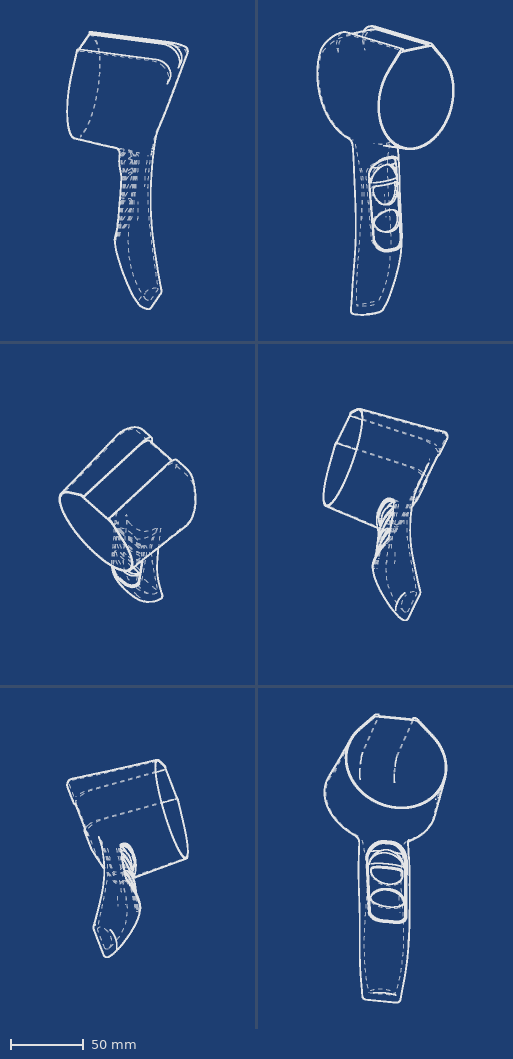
import cadquery as cq
import math


TOTAL_HEIGHT = 198.9
CROWN_Z = 39.0
BOTTOM_Z = CROWN_Z - TOTAL_HEIGHT
WALL = 0.8
REACH = 79.5
TRIM_WIDTH = 119.3

MOUTH_RADIUS = 35.6
SIDE_DRAFT = 0.067
TOP_HEIGHT = 37.0
TOP_DRAFT = 0.035
TOP_HALF_WIDTH = 14.3
MOUTH_OVERCUT = 2.0

PANEL_HALF_WIDTH = 12.1
PANEL_SINK = 1.2
PANEL_BACK_RADIUS = 12.0
PANEL_RECESS_BASE_Z = 10.0

BACK_RADIUS = 278.5
BACK_NEAREST_X = 43.8
BACK_CENTRE_Z = -85.5
BACK_TOP_RADIUS = 10.0
EDGE_RADIUS = 2.4

HANDLE_SECTIONS = [
    (-23.9, 28.2, 16.3),
    (-43.8, 27.8, 16.3),
    (-55.7, 27.2, 17.0),
    (-83.5, 25.9, 17.0),
    (-109.4, 24.0, 16.3),
    (-127.3, 27.2, 16.0),
    (-143.2, 32.6, 14.7),
    (BOTTOM_Z, 41.8, 13.3),
]
FRONT_BULGE = 10.0
SIDE_LENGTH = 14.0
TIP_RADIUS = 2.8
NECK_RADIUS = 7.0

TIP_THICKNESS = 6.0
CAVITY_SECTIONS = [
    (-23.9, 29.5, 14.7),
    (-55.7, 37.0, 14.3),
    (-127.3, 34.6, 13.5),
    (BOTTOM_Z + TIP_THICKNESS, 44.5, 11.0),
]

PAD_TOP_Z = -46.5
PAD_BOTTOM_Z = -112.2
PAD_TOP_HALF_WIDTH = 14.5
PAD_BOTTOM_HALF_WIDTH = 13.3
PAD_TOP_RADIUS = 12.0
PAD_BOTTOM_RADIUS = 10.0
PAD_DEPTH_LIMIT = 39.8

PAD_HALF_WIDTH = 17.3
LEDGE_FOOT_Z = -53.1
LEDGE_FOOT_X = 30.5
RAMP_FOOT_Z = -103.5
RAMP_FOOT_X = 26.0
PAD_PROFILE = [
    (PAD_TOP_Z + 2.0, 27.8),
    (PAD_TOP_Z, 27.8),
    (LEDGE_FOOT_Z, LEDGE_FOOT_X),
    (RAMP_FOOT_Z, RAMP_FOOT_X),
    (PAD_BOTTOM_Z, 24.0),
    (PAD_BOTTOM_Z - 2.0, 24.0),
]
GROOVE_WIDTH = 1.2
GROOVE_DEPTH = 0.8

SCOOP_DEPTH = 2.0
HALF_MOON_DEPTH = 4.0
HALF_MOON_TOP_Z = -52.1
HALF_MOON_BOTTOM_Z = -63.5
HALF_MOON_HALF_WIDTH = 12.1
SHIELD_TOP_Z = -66.0
SHIELD_BOTTOM_Z = -80.2
SHIELD_HALF_WIDTH = 11.1
SHIELD_SIDE = 4.0
SHIELD_CORNER_RADIUS = 2.0
OVAL_CENTRE_Z = -91.5
OVAL_HALF_WIDTH = 11.7
OVAL_HALF_HEIGHT = 7.5


def top_z(x):
    return TOP_HEIGHT + TOP_DRAFT * x


def cup_section(x, inset, top_inset):
    """Outline across the cup: flat top, two flanks and a round lower part tangent to them."""
    radius = MOUTH_RADIUS + SIDE_DRAFT * x - inset
    corner_y = TOP_HALF_WIDTH - inset + (top_inset - inset)
    corner_z = top_z(x) - top_inset
    corner_distance = math.hypot(corner_y, corner_z)
    tangent_angle = math.atan2(corner_z, corner_y) - math.acos(radius / corner_distance)
    tangent_y = radius * math.cos(tangent_angle)
    tangent_z = radius * math.sin(tangent_angle)
    return (
        cq.Workplane("YZ", origin=(x, 0, 0))
        .moveTo(-corner_y, corner_z)
        .lineTo(corner_y, corner_z)
        .lineTo(tangent_y, tangent_z)
        .threePointArc((0, -radius), (-tangent_y, tangent_z))
        .close()
        .val()
    )


def cup_loft(start_x, inset=0.0, top_inset=0.0):
    sections = [cup_section(x, inset, top_inset) for x in (start_x, REACH)]
    return cq.Workplane(cq.Solid.makeLoft(sections, True))


def handle_section(z, front_x, half_width):
    """Outline across the handle: half-elliptical front running into straight sides."""
    shoulder_x = front_x + FRONT_BULGE
    bow = [
        (shoulder_x - FRONT_BULGE * math.cos(angle), half_width * math.sin(angle))
        for angle in (math.radians(degrees) for degrees in range(-90, 91, 45))
    ]
    side_xs = (shoulder_x + SIDE_LENGTH, REACH)
    right_side = [(x, -half_width) for x in reversed(side_xs)]
    left_side = [(x, half_width) for x in side_xs]
    points = [cq.Vector(x, y, z) for x, y in right_side + bow + left_side]
    skin = cq.Edge.makeSpline(points, tangents=[cq.Vector(-1, 0, 0), cq.Vector(1, 0, 0)])
    back = cq.Edge.makeLine(points[-1], points[0])
    return cq.Wire.assembleEdges([skin, back])


def handle_loft(sections, ruled=False):
    wires = [handle_section(*section) for section in sections]
    return cq.Workplane(cq.Solid.makeLoft(wires, ruled))


def back_x(z, inset):
    rise = z - BACK_CENTRE_Z
    return BACK_NEAREST_X + BACK_RADIUS - math.sqrt((BACK_RADIUS + inset) ** 2 - rise ** 2)


def side_profile(inset, front_top_z, back_top_z):
    """Everything in front of the back arc, up to a top running straight from front to back."""
    front_x = -MOUTH_OVERCUT
    lowest_point = (back_x(BOTTOM_Z, inset), BOTTOM_Z)
    nearest_point = (back_x(BACK_CENTRE_Z, inset), BACK_CENTRE_Z)
    top_point = (back_x(back_top_z, inset), back_top_z)
    return (
        cq.Workplane("XZ", origin=(0, TRIM_WIDTH / 2, 0))
        .moveTo(front_x, BOTTOM_Z)
        .lineTo(*lowest_point)
        .threePointArc(nearest_point, top_point)
        .lineTo(front_x, front_top_z)
        .close()
        .extrude(TRIM_WIDTH)
    )


def back_trim(inset):
    clear_top_z = CROWN_Z + EDGE_RADIUS
    return side_profile(inset, clear_top_z, clear_top_z)


def near(x_range, z_range):
    """Selector for edges centred inside the given X and Z ranges."""
    half = TRIM_WIDTH / 2
    return cq.selectors.BoxSelector(
        (x_range[0], -half, z_range[0]), (x_range[1], half, z_range[1])
    )


def blended(cup, handle, inset, back_top_radius):
    """Cup and handle joined, trimmed to the back and rounded."""
    neck_edges = near((25.9, 61.7), (-43.8, -31.8))
    top_back_edge = near((67.6, REACH), (33.8, 43.8))
    top_corner_edges = near((19.9, 39.8), (31.8, 43.8))
    joined = cup.union(handle).edges(neck_edges).fillet(NECK_RADIUS)
    joined = joined.intersect(back_trim(inset))
    joined = joined.edges("|Y").edges(top_back_edge).fillet(back_top_radius)
    return joined.edges(top_corner_edges).fillet(EDGE_RADIUS - inset)


def outside():
    handle = handle_loft(HANDLE_SECTIONS)
    handle = handle.faces("<Z").edges("<X").fillet(TIP_RADIUS)
    return blended(cup_loft(0), handle, 0, BACK_TOP_RADIUS)


def inside():
    cup = cup_loft(-MOUTH_OVERCUT, WALL, WALL + PANEL_SINK)
    return blended(cup, handle_loft(CAVITY_SECTIONS), WALL, PANEL_BACK_RADIUS - WALL)


def panel_recess():
    """Strip over the top of the cup, down to the panel and round onto the back."""
    strip_top_z = CROWN_Z + EDGE_RADIUS
    strip = cq.Workplane("XY").box(
        REACH + MOUTH_OVERCUT, 2 * PANEL_HALF_WIDTH, strip_top_z - PANEL_RECESS_BASE_Z,
        centered=(False, True, False),
    ).translate((-MOUTH_OVERCUT, 0, PANEL_RECESS_BASE_Z))
    panel_front_z = top_z(-MOUTH_OVERCUT) - PANEL_SINK
    panel_back_z = top_z(back_x(CROWN_Z, 0)) - PANEL_SINK
    core = side_profile(0, panel_front_z, panel_back_z)
    core = core.edges("|Y").edges(near((67.6, REACH), (33.8, 43.8))).fillet(PANEL_BACK_RADIUS)
    return strip.cut(core)


def pad_outline(inset):
    """Prism along X over the pad, wider at the top."""
    top_half = PAD_TOP_HALF_WIDTH - inset
    bottom_half = PAD_BOTTOM_HALF_WIDTH - inset
    top = PAD_TOP_Z - inset
    bottom = PAD_BOTTOM_Z + inset
    prism = (
        cq.Workplane("YZ")
        .polyline([(-top_half, top), (top_half, top), (bottom_half, bottom), (-bottom_half, bottom)])
        .close()
        .extrude(PAD_DEPTH_LIMIT)
    )
    prism = prism.edges("|X").edges(">Z").fillet(PAD_TOP_RADIUS - inset)
    return prism.edges("|X").edges("<Z").fillet(PAD_BOTTOM_RADIUS - inset)


def pad_body(depth=0.0):
    """Material behind the pad face, lowered by depth."""
    sections = [(z, x + depth, PAD_HALF_WIDTH) for z, x in PAD_PROFILE]
    return handle_loft(sections, ruled=True)


def pad_face_x(z):
    """X of the straight run of the pad face."""
    share = (LEDGE_FOOT_Z - z) / (LEDGE_FOOT_Z - RAMP_FOOT_Z)
    return LEDGE_FOOT_X + share * (RAMP_FOOT_X - LEDGE_FOOT_X)


def half_moon_scoop():
    prism = (
        cq.Workplane("YZ")
        .moveTo(-HALF_MOON_HALF_WIDTH, HALF_MOON_BOTTOM_Z)
        .threePointArc((0, HALF_MOON_TOP_Z), (HALF_MOON_HALF_WIDTH, HALF_MOON_BOTTOM_Z))
        .close()
        .extrude(PAD_DEPTH_LIMIT)
    )
    sloping_floor = handle_loft([
        (HALF_MOON_TOP_Z, pad_face_x(HALF_MOON_TOP_Z) + HALF_MOON_DEPTH, PAD_HALF_WIDTH),
        (HALF_MOON_BOTTOM_Z, pad_face_x(HALF_MOON_BOTTOM_Z), PAD_HALF_WIDTH),
    ], ruled=True)
    return prism.cut(sloping_floor)


def shield_scoop():
    side_z = SHIELD_TOP_Z - SHIELD_SIDE
    prism = (
        cq.Workplane("YZ")
        .moveTo(-SHIELD_HALF_WIDTH, SHIELD_TOP_Z)
        .lineTo(SHIELD_HALF_WIDTH, SHIELD_TOP_Z)
        .lineTo(SHIELD_HALF_WIDTH, side_z)
        .threePointArc((0, SHIELD_BOTTOM_Z), (-SHIELD_HALF_WIDTH, side_z))
        .close()
        .extrude(PAD_DEPTH_LIMIT)
    )
    prism = prism.edges("|X").edges(">Z").fillet(SHIELD_CORNER_RADIUS)
    return prism.cut(pad_body(SCOOP_DEPTH))


def oval_scoop():
    prism = (
        cq.Workplane("YZ")
        .center(0, OVAL_CENTRE_Z)
        .ellipse(OVAL_HALF_WIDTH, OVAL_HALF_HEIGHT)
        .extrude(PAD_DEPTH_LIMIT)
    )
    return prism.cut(pad_body(SCOOP_DEPTH))


def pad_recess():
    return pad_outline(0).cut(pad_body())


def pad_groove():
    rim = pad_outline(0).cut(pad_outline(GROOVE_WIDTH))
    return rim.cut(pad_body(GROOVE_DEPTH))


shell = outside()
for cutter in (panel_recess, pad_recess, pad_groove, half_moon_scoop, shield_scoop, oval_scoop, inside):
    shell = shell.cut(cutter(), clean=False)
result = shell